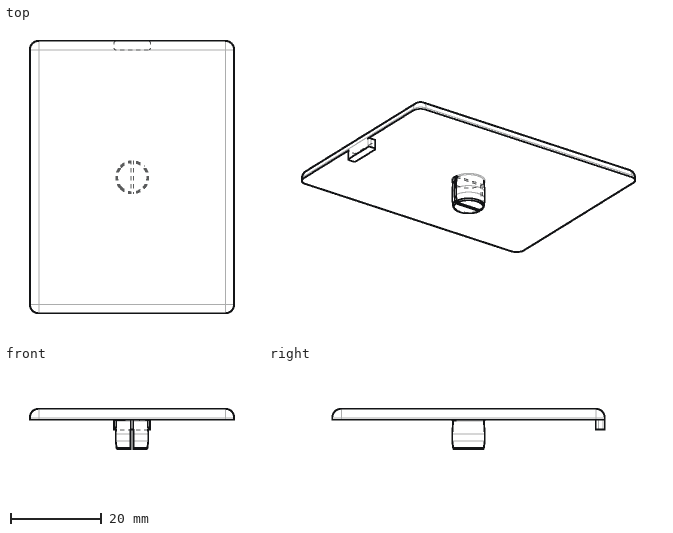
import cadquery as cq

plate_width = 45.0
plate_length = 60.0
plate_thickness = 2.5
edge_radius = 2.0

overall_height = 8.99
peg_length = overall_height - plate_thickness
neck_radius = 3.42
snap_radius = 3.62
tip_radius = 3.42
root_fillet_radius = 0.2
snap_start_depth = 3.0
snap_end_depth = 4.6
tip_chamfer_depth = 0.4
tip_chamfer_width = 0.2
slot_width = 0.6

tab_width = 8.0
tab_thickness = 2.0
tab_depth = 2.1
tab_corner_radius = 0.5


def make_plate():
    """Plate resting on Z = 0, with rounded corners and a rounded upper edge."""
    plate = cq.Workplane("XY").box(
        plate_width, plate_length, plate_thickness, centered=(True, True, False)
    )
    return plate.edges("|Z or >Z").fillet(edge_radius)


def make_peg():
    """Revolved peg split along Y: filleted root, widening neck, snap band and tapered tip."""
    profile = (
        cq.Workplane("XZ")
        .lineTo(neck_radius + root_fillet_radius, 0)
        .radiusArc((neck_radius, -root_fillet_radius), -root_fillet_radius)
        .lineTo(snap_radius, -snap_start_depth)
        .lineTo(snap_radius, -snap_end_depth)
        .lineTo(tip_radius, -(peg_length - tip_chamfer_depth))
        .lineTo(tip_radius - tip_chamfer_width, -peg_length)
        .lineTo(0, -peg_length)
        .close()
    )
    peg = profile.revolve(360, (0, 0, 0), (0, 1, 0))
    slot_length = 2 * max(snap_radius, neck_radius + root_fillet_radius)
    slot = cq.Workplane("XY").rect(slot_width, slot_length).extrude(-peg_length)
    return peg.cut(slot)


def make_tab():
    """Rectangular tab with rounded vertical corners."""
    tab_center_y = (plate_length - tab_thickness) / 2
    return (
        cq.Workplane("XY")
        .center(0, tab_center_y)
        .rect(tab_width, tab_thickness)
        .extrude(-tab_depth)
        .edges("|Z")
        .fillet(tab_corner_radius)
    )


result = make_plate().union(make_peg()).union(make_tab())